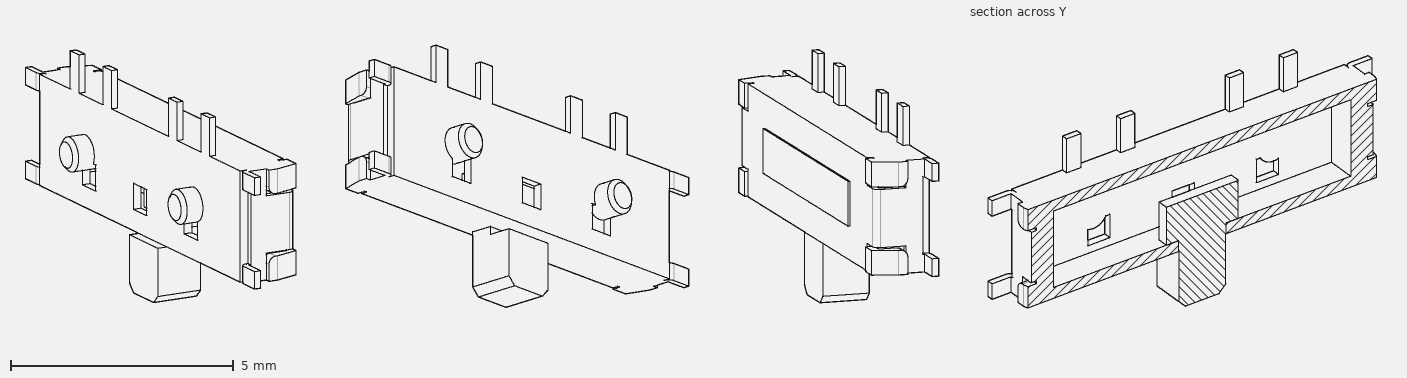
import cadquery as cq
import math


OVERALL_LENGTH = 10.52
CASE_LENGTH = 9.47
CASE_HEIGHT = 2.6
CASE_BACK = 1.35
SHEET = 0.15
FRONT_PLATE = 0.2
FRONT_LENGTH = 9.2
END = CASE_LENGTH / 2
TOP = CASE_HEIGHT / 2
FRONT_END = FRONT_LENGTH / 2

CAVITY_LENGTH = 8.21
CAVITY_HEIGHT = 2.0
CAVITY_BACK = CASE_BACK - SHEET
CAVITY_FLOOR = -CAVITY_HEIGHT / 2

PAD_LENGTH = 6.0
PAD_HEIGHT = 1.03
PAD_RAISE = 0.04

CLAW_HEIGHT = 0.57
CLAW_GAP = 0.06
CLAW_BACK = 1.4
CLAW_INNER = 4.26
CLAW_SHOULDER = 4.68
CLAW_TIP = 4.86
CLAW_TIP_BACK = 0.82
CLAW_TIP_FRONT = 0.6
CLAW_ROUND = 0.17

FOOT_HEIGHT = 0.41
FOOT_THICKNESS = 0.16

TERMINAL_WIDTH = 0.4
TERMINAL_LENGTH = 0.89
TERMINAL_THICKNESS = 0.16
TERMINAL_POSITIONS = (-3.0, -1.5, 1.5, 3.0)

PEG_DIAMETER = 0.8
PEG_LENGTH = 0.5
PEG_CHAMFER = 0.1
PEG_OFFSET = 2.49

WINDOW_SIZE = 0.61
WINDOW_OFFSET = 2.34
WINDOW_CENTER_Z = -0.49

LEVER_WIDTH = 1.3
LEVER_LENGTH = 1.5
LEVER_FRONT = 0.09
LEVER_CHAMFER = 0.19
NECK_FRONT = 0.66
NECK_LENGTH = 0.19
FLANGE_WIDTH = 2.0
FLANGE_HEIGHT = CAVITY_HEIGHT / 2


def box(x_range, y_range, z_range):
    """Axis-aligned box between pairs of limits."""
    size = [high - low for low, high in (x_range, y_range, z_range)]
    return cq.Workplane("XY").box(*size, centered=False).translate((x_range[0], y_range[0], z_range[0]))


def centered(length):
    """Limits of a span centred on zero."""
    return (-length / 2, length / 2)


def four_corners(corner):
    """Copies of a +X, +Z corner shape at every corner of the case."""
    upper_pair = [corner, corner.mirror("YZ")]
    return upper_pair + [shape.mirror("XY") for shape in upper_pair]


def make_shell():
    """Case block with bent back edges, stepped front ends and a raised back pad."""
    shell = box(centered(CASE_LENGTH), (0, CASE_BACK), centered(CASE_HEIGHT))
    shell = shell.faces(">Y").edges("|Z").fillet(SHEET)
    for end in ((-END, -FRONT_END), (FRONT_END, END)):
        shell = shell.cut(box(end, (0, FRONT_PLATE), centered(CASE_HEIGHT)))
    pad = box(centered(PAD_LENGTH), (CAVITY_BACK, CASE_BACK + PAD_RAISE), centered(PAD_HEIGHT))
    return shell.union(pad)


def make_claw_relief():
    """Skin removed around one claw, on the end and on the back of the case."""
    heights = (TOP - CLAW_HEIGHT - CLAW_GAP, TOP)
    end_relief = box((END - SHEET, END), (CLAW_TIP_FRONT, CASE_BACK), heights)
    back_relief = box((CLAW_INNER - CLAW_GAP, END), (CAVITY_BACK, CASE_BACK), heights)
    return end_relief.union(back_relief)


def make_claw():
    """Wedge-shaped claw wrapping one back corner."""
    outline = [
        (CLAW_INNER, CAVITY_BACK),
        (CLAW_INNER, CLAW_BACK),
        (CLAW_SHOULDER, CLAW_BACK),
        (CLAW_TIP, CLAW_TIP_BACK),
        (CLAW_TIP, CLAW_TIP_FRONT),
        (END - SHEET, CLAW_TIP_FRONT),
        (END - SHEET, CAVITY_BACK),
    ]
    claw = cq.Workplane("XY").workplane(offset=TOP - CLAW_HEIGHT).polyline(outline).close()
    return claw.extrude(CLAW_HEIGHT).faces("<Y").edges("<Z").fillet(CLAW_ROUND)


def make_foot():
    """Solder foot that bends out of the end wall, rounded on the outside of the bend."""
    bend_end = FRONT_END + FOOT_THICKNESS
    bend_offset = FOOT_THICKNESS * math.sqrt(0.5)
    bend_middle = (bend_end - bend_offset, FOOT_THICKNESS - bend_offset)
    foot = (
        cq.Workplane("XY").workplane(offset=TOP - FOOT_HEIGHT)
        .moveTo(bend_end, 0)
        .lineTo(OVERALL_LENGTH / 2, 0)
        .lineTo(OVERALL_LENGTH / 2, FOOT_THICKNESS)
        .lineTo(END, FOOT_THICKNESS)
        .lineTo(END, FRONT_PLATE)
        .lineTo(FRONT_END, FRONT_PLATE)
        .lineTo(FRONT_END, FOOT_THICKNESS)
        .threePointArc(bend_middle, (bend_end, 0))
        .close()
    )
    return foot.extrude(FOOT_HEIGHT)


def make_terminal(x):
    """Flat terminal standing on the top of the case."""
    terminal = box(centered(TERMINAL_WIDTH), (0, TERMINAL_THICKNESS), (TOP, TOP + TERMINAL_LENGTH))
    return terminal.translate((x, 0, 0))


def make_peg(x):
    """Round locating peg on the front, chamfered at its free end."""
    peg = cq.Workplane("XZ").circle(PEG_DIAMETER / 2).extrude(PEG_LENGTH + FRONT_PLATE)
    return peg.faces("<Y").chamfer(PEG_CHAMFER).translate((x, FRONT_PLATE, 0))


def make_window(x):
    """Square opening through the front plate."""
    window = box(centered(WINDOW_SIZE), (0, FRONT_PLATE), centered(WINDOW_SIZE))
    return window.translate((x, 0, WINDOW_CENTER_Z))


def make_housing():
    """Hollow case with claws, feet, terminals and pegs."""
    housing = make_shell()
    for relief in four_corners(make_claw_relief()):
        housing = housing.cut(relief)
    for part in four_corners(make_claw()) + four_corners(make_foot()):
        housing = housing.union(part)
    housing = housing.cut(box(centered(CAVITY_LENGTH), (FRONT_PLATE, CAVITY_BACK), centered(CAVITY_HEIGHT)))
    for x in (-WINDOW_OFFSET, 0, WINDOW_OFFSET):
        housing = housing.cut(make_window(x))
    for x in TERMINAL_POSITIONS:
        housing = housing.union(make_terminal(x))
    for x in (-PEG_OFFSET, PEG_OFFSET):
        housing = housing.union(make_peg(x))
    lever_slot = box(centered(LEVER_WIDTH), (NECK_FRONT, CAVITY_BACK), (-TOP, CAVITY_FLOOR))
    return housing.cut(lever_slot)


def make_lever():
    """Slide lever: a knob outside, a neck through the case wall and a flange in the cavity."""
    knob = box(centered(LEVER_WIDTH), (LEVER_FRONT, CAVITY_BACK), (-TOP - LEVER_LENGTH, -TOP - NECK_LENGTH))
    knob = knob.faces("<Z").edges("|Y").chamfer(LEVER_CHAMFER)
    depth = (NECK_FRONT, CAVITY_BACK)
    neck = box(centered(LEVER_WIDTH), depth, (-TOP - NECK_LENGTH, CAVITY_FLOOR))
    flange = box(centered(FLANGE_WIDTH), depth, (CAVITY_FLOOR, CAVITY_FLOOR + FLANGE_HEIGHT))
    return knob.union(neck).union(flange)


housing = make_housing()
lever = make_lever()
result = cq.Compound.makeCompound([housing.solids().val(), lever.solids().val()])